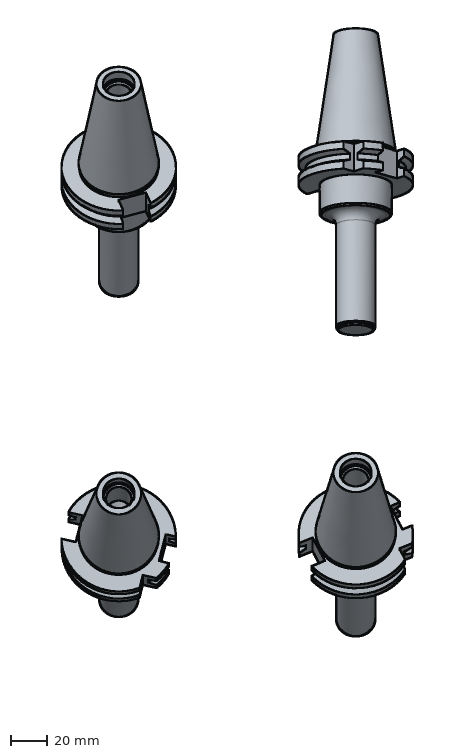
import cadquery as cq
import math

total_height = 171.2
taper_length = 68.3
flange_bottom = 84.0
flange_thickness = 16.0
flange_top = flange_bottom + flange_thickness
gauge_height = total_height - taper_length
body_bottom = 66.6

shank_radius = 22.0 / 2
body_radius = 40.0 / 2
flange_radius = 63.5 / 2
neck_radius = 44.0 / 2
gauge_radius = 44.7 / 2
taper_ratio = 7 / 24
taper_top_radius = gauge_radius - taper_length * taper_ratio / 2
lip_height = 0.7

bevel_height = 1.0
bevel_inner_step = 0.9
bevel_outer_step = 0.3

body_chamfer = 1.0
shank_fillet = 6.0

groove_radius = 27.9
groove_outer_width = 7.0
groove_floor_width = 3.5

slot_width = 16.1
left_slot_floor = 24.8
right_slot_floor = 22.6
notch_x = 18.2
notch_y = 18.3

counterbore_radius = 17.5 / 2
counterbore_depth = 6.2
relief_radius = 17.0 / 2
relief_depth = 8.0
bore_radius = 14.0 / 2
seat_angle = math.radians(30)
bore_depth = 30.8
drill_tip_angle = math.radians(118)


def turned_body():
    """Revolve the shank, body, flange, neck and taper as one solid."""
    bevel_radius = shank_radius - bevel_outer_step
    fillet_top_radius = shank_radius + shank_fillet
    arc_offset = shank_fillet * (1 - math.sqrt(0.5))
    return (
        cq.Workplane("XZ")
        .lineTo(bevel_radius - bevel_inner_step, 0)
        .lineTo(bevel_radius, bevel_height)
        .lineTo(shank_radius, 2 * bevel_height)
        .lineTo(shank_radius, body_bottom - shank_fillet)
        .threePointArc(
            (shank_radius + arc_offset, body_bottom - arc_offset),
            (fillet_top_radius, body_bottom),
        )
        .lineTo(body_radius - body_chamfer, body_bottom)
        .lineTo(body_radius, body_bottom + body_chamfer)
        .lineTo(body_radius, flange_bottom)
        .lineTo(flange_radius, flange_bottom)
        .lineTo(flange_radius, flange_top)
        .lineTo(neck_radius, flange_top)
        .lineTo(neck_radius, gauge_height - lip_height)
        .lineTo(gauge_radius, gauge_height)
        .lineTo(taper_top_radius, total_height)
        .lineTo(0, total_height)
        .close()
        .revolve(360, (0, 0), (0, 1))
    )


def flange_groove():
    """Ring with sloping flanks, centred on the flange thickness."""
    middle = flange_bottom + flange_thickness / 2
    outer_half = groove_outer_width / 2
    floor_half = groove_floor_width / 2
    return (
        cq.Workplane("XZ")
        .moveTo(flange_radius, middle - outer_half)
        .lineTo(groove_radius, middle - floor_half)
        .lineTo(groove_radius, middle + floor_half)
        .lineTo(flange_radius, middle + outer_half)
        .close()
        .revolve(360, (0, 0), (0, 1))
    )


def flange_block(x_min, x_max, y_min, y_max):
    """Rectangular cutter as tall as the flange."""
    return cq.Workplane("XY").box(
        x_max - x_min, y_max - y_min, flange_thickness, centered=False
    ).translate((x_min, y_min, flange_bottom))


def drawbar_bore():
    """Counterbore, relief, conical seat and drilled bore, revolved."""
    seat_height = (relief_radius - bore_radius) * math.tan(seat_angle)
    tip_height = bore_radius / math.tan(drill_tip_angle / 2)
    relief_bottom = total_height - relief_depth
    bore_bottom = total_height - bore_depth
    return (
        cq.Workplane("XZ")
        .moveTo(0, total_height)
        .lineTo(counterbore_radius, total_height)
        .lineTo(counterbore_radius, total_height - counterbore_depth)
        .lineTo(relief_radius, total_height - counterbore_depth)
        .lineTo(relief_radius, relief_bottom)
        .lineTo(bore_radius, relief_bottom - seat_height)
        .lineTo(bore_radius, bore_bottom)
        .lineTo(0, bore_bottom - tip_height)
        .close()
        .revolve(360, (0, 0), (0, 1))
    )


half_slot = slot_width / 2
left_slot = flange_block(-flange_radius, -left_slot_floor, -half_slot, half_slot)
right_slot = flange_block(right_slot_floor, flange_radius, -half_slot, half_slot)
notch = flange_block(-flange_radius, -notch_x, notch_y, flange_radius)

result = turned_body().cut(flange_groove()).cut(drawbar_bore())
for cutter in (left_slot, right_slot, notch):
    result = result.cut(cutter)